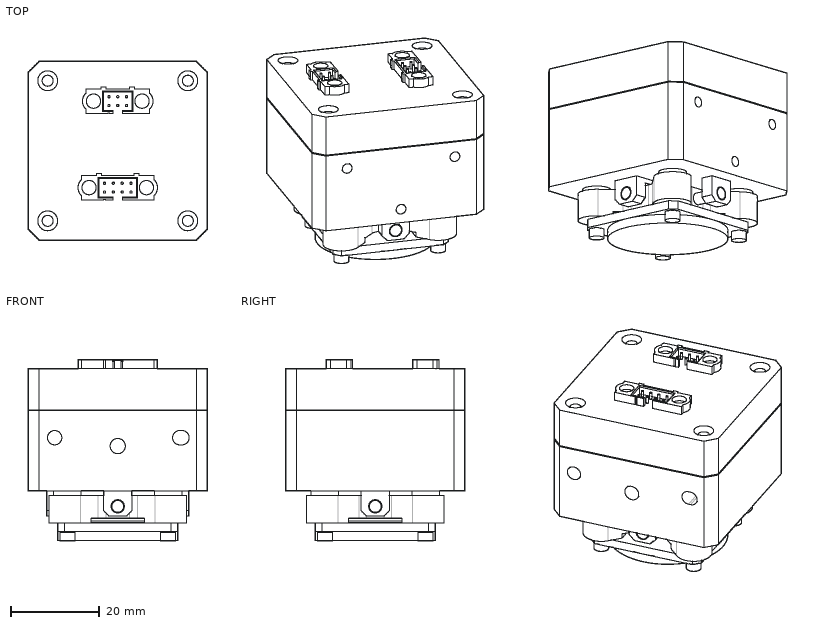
import cadquery as cq
import math

HOUSING_WIDTH = 40.64
CORNER_CHAMFER = 2.5
HOUSING_HEIGHT = 27.7
SEAM_Z = 18.2
SEAM_HEIGHT = 0.17
SEAM_DEPTH = 0.1

COUNTERSINK_OFFSET = 15.875
COUNTERSINK_TOP_RADIUS = 2.25
COUNTERSINK_BOTTOM_RADIUS = 1.25

MOUNT_HOLE_X = 14.3
MOUNT_HOLE_Z = 12.05
MOUNT_HOLE_DIAMETER = 3.25
MOUNT_SLOT_LENGTH = 3.75
MIDDLE_HOLE_Z = 10.15
MIDDLE_HOLE_DIAMETER = 3.45
FRONT_HOLE_DEPTH = 6.0

SIDE_HOLE_DIAMETER = 2.3
SIDE_HOLE_DEPTH = 6.0
SIDE_HOLE_Y = 12.75
SIDE_HOLE_UPPER_Z = 14.6
SIDE_HOLE_LOWER_Z = 3.25

CONNECTOR_HEIGHT = 2.05
CONNECTOR_DEPTH = 5.6
PIN_PITCH = 2.0
PIN_RADIUS = 0.25
PIN_HEIGHT = 1.6
BODY_END_MARGIN = 5.25
EAR_HOLE_MARGIN = 3.5
EAR_RADIUS = 2.5
EAR_HOLE_RADIUS = 1.62
EAR_HOLE_DEPTH = 1.2
CAVITY_END_MARGIN = 1.2
CAVITY_DEPTH = 4.2
CAVITY_CHAMFER = 0.25
KEY_NOTCH_WIDTH = 2.2
REAR_TAB_WIDTH = 1.1
REAR_TAB_DEPTH = 0.45
REAR_TAB_MARGIN = 1.25
MARK_WIDTH = 0.35
MARK_DEPTH = 0.15
CONNECTORS = [(3, 11.25), (4, -8.35)]

POST_OFFSET = 11.43
SPACER_RADIUS = 3.15
SPIDER_TOP_Z = -1.05
SPIDER_HUB_BOTTOM_Z = -6.22
SPIDER_BOTTOM_Z = -7.3
LOBE_RADIUS = 4.2
WEB_FILLET = 2.54
HUB_HALF_X = 8.92
HUB_HALF_Y = 9.63
UNDERSIDE_SLOT_WIDTH = 12.1
BRACKET_WIDTH = 6.45
BRACKET_BOTTOM_Z = -5.75
BRACKET_CHAMFER = 1.27
BRACKET_THICKNESS = 3.0
BRACKET_OUTER_X = 16.13
BRACKET_OUTER_Y = 14.4
PIVOT_Z = -3.5
PIVOT_RADIUS = 1.35
PIVOT_HOLE_RADIUS = 1.5
PIN_EMBEDMENT = 1.0

PLATE_WIDTH = 27.3
PLATE_CHAMFER = 1.55
PLATE_BOTTOM_Z = -9.25
PAD_TOP_Z = -6.8
PAD_STEP_Z = -7.15
PAD_STEP = 0.1
DISC_BOTTOM_Z = -11.28
SCREW_HEAD_RADIUS = 1.7
SCREW_HEAD_TOP_Z = -9.4
SCREW_NECK_RADIUS = 1.2
SCREW_BOTTOM_Z = -11.36

HALF_WIDTH = HOUSING_WIDTH / 2
CORNERS = [(sx, sy) for sx in (-1, 1) for sy in (-1, 1)]


def corner_points(offset):
    return [(sx * offset, sy * offset) for sx, sy in CORNERS]


def block(length_x, length_y, z_low, z_high, center=(0, 0)):
    """Upright box between two heights, centred on an XY point."""
    return (
        cq.Workplane("XY", origin=(center[0], center[1], z_low))
        .box(length_x, length_y, z_high - z_low, centered=(True, True, False))
    )


def posts(points, radius, z_low, z_high):
    """Equal upright cylinders between two heights."""
    return (
        cq.Workplane("XY", origin=(0, 0, z_low))
        .pushPoints(points)
        .circle(radius)
        .extrude(z_high - z_low)
    )


def make_housing():
    body = block(HOUSING_WIDTH, HOUSING_WIDTH, 0, HOUSING_HEIGHT)
    body = body.edges("|Z").chamfer(CORNER_CHAMFER)

    core_width = HOUSING_WIDTH - 2 * SEAM_DEPTH
    seam_top = SEAM_Z + SEAM_HEIGHT
    core = block(core_width, core_width, SEAM_Z, seam_top)
    core = core.edges("|Z").chamfer(CORNER_CHAMFER)
    band = block(HOUSING_WIDTH, HOUSING_WIDTH, SEAM_Z, seam_top).cut(core)
    body = body.cut(band)

    countersink_depth = COUNTERSINK_TOP_RADIUS - COUNTERSINK_BOTTOM_RADIUS
    for x, y in corner_points(COUNTERSINK_OFFSET):
        countersink = cq.Solid.makeCone(
            COUNTERSINK_BOTTOM_RADIUS,
            COUNTERSINK_TOP_RADIUS,
            countersink_depth,
            pnt=cq.Vector(x, y, HOUSING_HEIGHT - countersink_depth),
        )
        body = body.cut(cq.Workplane(countersink))
    return body


def make_front_holes():
    """Cutters for the two mounting holes (one slotted) and the middle hole of the -Y face."""
    face = cq.Workplane("XZ", origin=(0, -HALF_WIDTH, 0))
    return (
        face.moveTo(-MOUNT_HOLE_X, MOUNT_HOLE_Z).circle(MOUNT_HOLE_DIAMETER / 2)
        .moveTo(MOUNT_HOLE_X, MOUNT_HOLE_Z).slot2D(MOUNT_SLOT_LENGTH, MOUNT_HOLE_DIAMETER)
        .moveTo(0, MIDDLE_HOLE_Z).circle(MIDDLE_HOLE_DIAMETER / 2)
        .extrude(-FRONT_HOLE_DEPTH)
    )


def make_side_holes():
    """Cutters for the three small holes of the -X face."""
    points = [
        (-SIDE_HOLE_Y, SIDE_HOLE_UPPER_Z),
        (SIDE_HOLE_Y, SIDE_HOLE_UPPER_Z),
        (0, SIDE_HOLE_LOWER_Z),
    ]
    return (
        cq.Workplane("YZ", origin=(-HALF_WIDTH, 0, 0))
        .pushPoints(points)
        .circle(SIDE_HOLE_DIAMETER / 2)
        .extrude(SIDE_HOLE_DEPTH)
    )


def make_connector(columns, y):
    """Two-row pin header with screw ears, standing on the cover."""
    z_low = HOUSING_HEIGHT
    z_high = z_low + CONNECTOR_HEIGHT
    half_span = (columns - 1) * PIN_PITCH / 2
    front_y = y - CONNECTOR_DEPTH / 2
    rear_y = y + CONNECTOR_DEPTH / 2
    ear_x = half_span + EAR_HOLE_MARGIN
    ears = [(-ear_x, y), (ear_x, y)]

    body = block(2 * (half_span + BODY_END_MARGIN), CONNECTOR_DEPTH, z_low, z_high, (0, y))
    body = body.union(posts(ears, EAR_RADIUS, z_low, z_high))
    for side in (-1, 1):
        tab_center = (side * (half_span + REAR_TAB_MARGIN), rear_y)
        body = body.union(block(REAR_TAB_WIDTH, 2 * REAR_TAB_DEPTH, z_low, z_high, tab_center))
    body = body.cut(posts(ears, EAR_HOLE_RADIUS, z_high - EAR_HOLE_DEPTH, z_high))

    cavity_length = 2 * (half_span + CAVITY_END_MARGIN)
    cavity = block(cavity_length, CAVITY_DEPTH, z_low, z_high, (0, y))
    body = body.cut(cavity)
    rim = (
        cq.Workplane("XY", origin=(0, y, z_high - CAVITY_CHAMFER))
        .rect(cavity_length, CAVITY_DEPTH)
        .workplane(offset=CAVITY_CHAMFER)
        .rect(cavity_length + 2 * CAVITY_CHAMFER, CAVITY_DEPTH + 2 * CAVITY_CHAMFER)
        .loft(ruled=True)
    )
    body = body.cut(rim)
    body = body.cut(block(KEY_NOTCH_WIDTH, CONNECTOR_DEPTH, z_low, z_high, (0, front_y)))
    body = body.cut(block(MARK_WIDTH, 2 * MARK_DEPTH, z_low, z_high, (-half_span, front_y)))

    pins = [
        (column * PIN_PITCH - half_span, y + row * PIN_PITCH / 2)
        for column in range(columns)
        for row in (-1, 1)
    ]
    return body.union(posts(pins, PIN_RADIUS, z_low, z_low + PIN_HEIGHT))


def make_spider():
    """Four diagonal arms with round ends, joined by a hub with rounded inside corners."""
    arm_length = 2 * math.sqrt(2) * POST_OFFSET
    spider = block(2 * HUB_HALF_X, 2 * HUB_HALF_Y, SPIDER_BOTTOM_Z, SPIDER_TOP_Z)
    for angle in (45, -45):
        arm = block(arm_length, 2 * LOBE_RADIUS, SPIDER_BOTTOM_Z, SPIDER_TOP_Z)
        spider = spider.union(arm.rotate((0, 0, 0), (0, 0, 1), angle))

    inside_corners = cq.selectors.BoxSelector(
        (-POST_OFFSET, -POST_OFFSET, SPIDER_BOTTOM_Z),
        (POST_OFFSET, POST_OFFSET, SPIDER_TOP_Z),
    )
    spider = spider.edges("|Z").edges(inside_corners).fillet(WEB_FILLET)
    spider = spider.union(posts(corner_points(POST_OFFSET), LOBE_RADIUS, SPIDER_BOTTOM_Z, SPIDER_TOP_Z))

    slot = block(HOUSING_WIDTH, UNDERSIDE_SLOT_WIDTH, SPIDER_BOTTOM_Z, SPIDER_HUB_BOTTOM_Z)
    return spider.cut(slot).cut(slot.rotate((0, 0, 0), (0, 0, 1), 90))


def make_bracket(outer, hub_half):
    """Pivot bracket on the -Y side, hanging from the housing, with its pin set in the hub."""
    top_half = BRACKET_WIDTH / 2
    bottom_half = top_half - BRACKET_CHAMFER
    chamfer_z = BRACKET_BOTTOM_Z + BRACKET_CHAMFER
    outline = [
        (-top_half, 0),
        (-top_half, chamfer_z),
        (-bottom_half, BRACKET_BOTTOM_Z),
        (bottom_half, BRACKET_BOTTOM_Z),
        (top_half, chamfer_z),
        (top_half, 0),
    ]
    outer_face = cq.Workplane("XZ", origin=(0, -outer, 0))
    pivot = outer_face.center(0, PIVOT_Z)
    bracket = outer_face.polyline(outline).close().extrude(-BRACKET_THICKNESS)
    bracket = bracket.cut(pivot.circle(PIVOT_HOLE_RADIUS).extrude(-BRACKET_THICKNESS))
    pin_length = outer - hub_half + PIN_EMBEDMENT
    return bracket.union(pivot.circle(PIVOT_RADIUS).extrude(-pin_length))


def make_brackets():
    """Two brackets across Y, tied by a bar under the housing, and two across X."""
    on_y = make_bracket(BRACKET_OUTER_Y, HUB_HALF_Y)
    on_x = make_bracket(BRACKET_OUTER_X, HUB_HALF_X).rotate((0, 0, 0), (0, 0, 1), -90)
    tie_bar = block(BRACKET_WIDTH, 2 * BRACKET_OUTER_Y, SPIDER_TOP_Z, 0)
    brackets = tie_bar.union(on_y).union(on_x)
    return brackets.union(on_y.mirror("XZ")).union(on_x.mirror("YZ"))


def make_lower_plate():
    """Chamfered plate with a stepped square pad, a round disc and four screw heads."""
    plate = block(PLATE_WIDTH, PLATE_WIDTH, PLATE_BOTTOM_Z, SPIDER_BOTTOM_Z)
    plate = plate.edges("|Z").chamfer(PLATE_CHAMFER)
    pad_base_width = UNDERSIDE_SLOT_WIDTH - 2 * PAD_STEP
    pad_base = block(pad_base_width, pad_base_width, SPIDER_BOTTOM_Z, PAD_STEP_Z)
    pad = block(UNDERSIDE_SLOT_WIDTH, UNDERSIDE_SLOT_WIDTH, PAD_STEP_Z, PAD_TOP_Z)
    disc = posts([(0, 0)], PLATE_WIDTH / 2, DISC_BOTTOM_Z, PLATE_BOTTOM_Z)
    screws = corner_points(POST_OFFSET)
    necks = posts(screws, SCREW_NECK_RADIUS, SCREW_HEAD_TOP_Z, PLATE_BOTTOM_Z)
    heads = posts(screws, SCREW_HEAD_RADIUS, SCREW_BOTTOM_Z, SCREW_HEAD_TOP_Z)
    return plate.union(pad_base).union(pad).union(disc).union(necks).union(heads)


result = make_housing().cut(make_front_holes()).cut(make_side_holes())
for pin_columns, connector_y in CONNECTORS:
    result = result.union(make_connector(pin_columns, connector_y))
result = result.union(posts(corner_points(POST_OFFSET), SPACER_RADIUS, SPIDER_TOP_Z, 0))
result = result.union(make_spider()).union(make_brackets()).union(make_lower_plate())